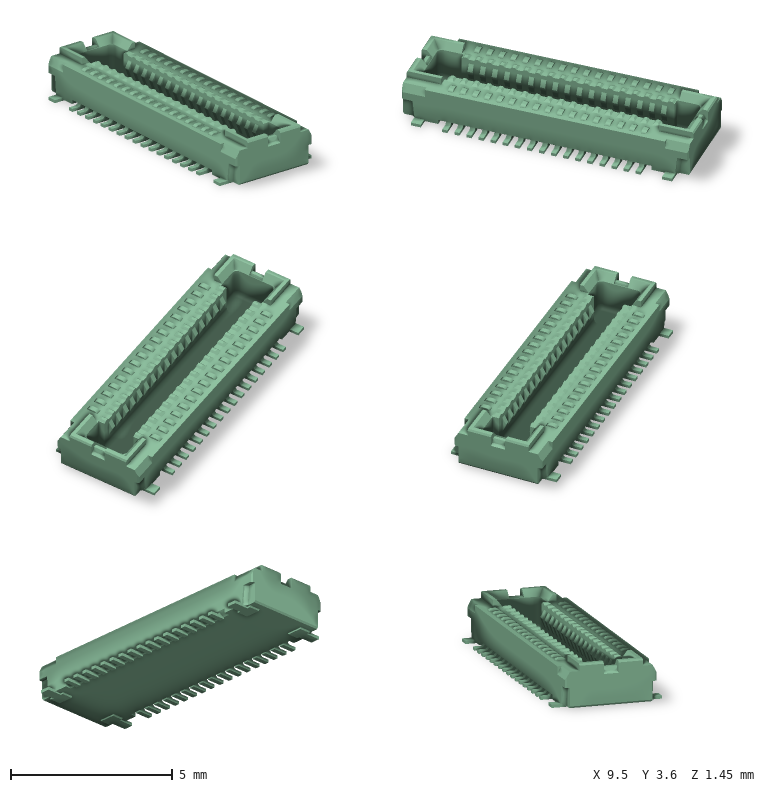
import cadquery as cq

length = 9.5
end_x = length / 2
side_y = 1.5
lead_reach = 1.8
base_z = 0.05
deck_z = 1.22
top_z = 1.45

floor_z = 0.2
floor_radius = 0.15
channel_end_x = 3.53
channel_half_width = 0.527
pocket_end_x = 4.36
pocket_half_width = 0.74
pocket_corner_radius = 0.16

tower_inner_x = 3.605
tower_half_width = 1.04
funnel_end_x = 4.57
funnel_half_width = 0.92
end_chamfer_x = 0.04
end_chamfer_z = 0.06

key_half_width = 0.24
key_floor_z = 1.06
ridge_foot_z = 1.12
ridge_top_z = 1.25
ridge_foot_inset = 0.1
ridge_top_inset = 0.17
ridge_back_inset = 0.28
ridge_end_inset = 0.38
ridge_end_z = 1.06

bevel_inner_x = 3.975
bevel_y = 0.146
bevel_z = 0.26
corner_chamfer_y = 0.055
recess_top_z = 0.705
recess_depth = 0.15
recess_floor_inset = 0.26
recess_mouth_inset = 0.37
recess_slant = 0.07
recess_straight_depth = 0.055

contact_count = 17
pitch = 0.4
contact_width = 0.167
lead_thickness = 0.1
lead_bend_y = 1.53
lead_shoulder_y = 1.45
lead_shoulder_z = 0.175
lead_inner_y = 1.28
relief_half_length = channel_end_x
relief_height = 0.15
relief_depth = 0.2

slot_inner_y = 0.945
slot_outer_y = 1.335
slot_depth = 0.25
crown_z = 1.28
crown_radius = 0.14

nose_top_z = 1.08
nose_tip_z = 0.85
nose_bottom_z = 0.52
nose_tip_y = 0.4
nose_root_y = 0.6

lug_base_width = 0.22
lug_top_width = 0.1
lug_outer_y = 0.8
lug_top_outer_y = 0.7
lug_top_z = 1.275

tab_inner_x = 3.995
tab_outer_x = 4.325
tab_inner_y = 0.89
pad_outer_y = lead_inner_y
pad_bottom_x = (3.91, 4.44)
pad_flare = 0.03

clearance = 0.2


def box(x_range, y_range, z_range):
    """Box between three pairs of limits."""
    size = [limits[1] - limits[0] for limits in (x_range, y_range, z_range)]
    return cq.Workplane("XY").box(*size, centered=False).translate((x_range[0], y_range[0], z_range[0]))


def around(half_width, center=0):
    """Limits lying half_width to either side of center."""
    return (center - half_width, center + half_width)


def profile_yz(points, center_x, width):
    """Extrude a (y, z) outline along X, centred on center_x."""
    outline = cq.Workplane("YZ", origin=(center_x - width / 2, 0, 0))
    return outline.polyline(points).close().extrude(width)


def profile_xz(points, y_start, y_end):
    """Extrude an (x, z) outline from y_start to y_end."""
    outline = cq.Workplane("XZ", origin=(0, y_start, 0))
    return outline.polyline(points).close().extrude(y_start - y_end)


def at_both_ends(shape):
    """The +X feature and its mirror image at -X."""
    return shape.union(shape.mirror("YZ"))


def at_both_sides(shape):
    """The +Y feature and its mirror image at -Y."""
    return shape.union(shape.mirror("XZ"))


def row(make, count):
    """Place count copies of a feature at the contact pitch, centred on X = 0, on both sides."""
    shapes = cq.Workplane("XY")
    for index in range(count):
        shapes = shapes.add(make((index - (count - 1) / 2) * pitch))
    return shapes.combine().union(shapes.mirror("XZ"))


def housing_block():
    """Plain housing with a tower on each end."""
    block = box(around(end_x), around(side_y), (base_z, deck_z))
    tower = box((tower_inner_x, end_x), around(tower_half_width), (floor_z, top_z))
    return block.union(at_both_ends(tower))


def cavity():
    """Central channel opening into a wider pocket at each end, rounded along the floor."""
    z_range = (floor_z, top_z + clearance)
    channel = box(around(channel_end_x), around(channel_half_width), z_range)
    channel = channel.edges("|X and <Z").fillet(floor_radius)
    pocket = box((channel_end_x, pocket_end_x), around(pocket_half_width), z_range)
    pocket = pocket.edges("|Z and >X").fillet(pocket_corner_radius)
    pocket = pocket.faces("<Z").edges("not(<X)").fillet(floor_radius)
    return channel.union(at_both_ends(pocket))


def funnel():
    """Tapered mouth from the tower top down to the pocket wall at deck height."""
    inner_x = tower_inner_x - clearance
    lower = cq.Workplane("XY", origin=(inner_x, 0, deck_z)).center((pocket_end_x - inner_x) / 2, 0)
    lower = lower.rect(pocket_end_x - inner_x, 2 * pocket_half_width)
    upper = lower.workplane(offset=top_z - deck_z).center((funnel_end_x - pocket_end_x) / 2, 0)
    return upper.rect(funnel_end_x - inner_x, 2 * funnel_half_width).loft(ruled=True)


def key_notch():
    """Opening through the tower wall above the ridge."""
    outline = [
        (end_x + clearance, key_floor_z),
        (end_x, key_floor_z),
        (end_x - ridge_foot_inset, ridge_foot_z),
        (end_x - ridge_top_inset, ridge_top_z),
        (end_x - ridge_back_inset, ridge_top_z),
        (end_x - ridge_end_inset, ridge_end_z),
        (end_x - ridge_end_inset, top_z + clearance),
        (end_x + clearance, top_z + clearance),
    ]
    return profile_xz(outline, -key_half_width, key_half_width)


def end_edge_chamfers():
    """Chamfers along the top edge of the tower and the bottom edge of the end face."""
    top = [(end_x - end_chamfer_x, top_z), (end_x, top_z), (end_x, top_z - end_chamfer_z)]
    bottom = [(end_x - end_chamfer_x, base_z), (end_x, base_z), (end_x, base_z + end_chamfer_z)]
    return profile_xz(top, -side_y, side_y).union(profile_xz(bottom, -side_y, side_y))


def corner_bevel():
    """Sloped top edge and chamfered upright edge of one housing corner."""
    slope = profile_yz(
        [(side_y - bevel_y, deck_z), (side_y, deck_z), (side_y, deck_z - bevel_z)],
        (bevel_inner_x + end_x) / 2,
        end_x - bevel_inner_x,
    )
    upright = cq.Workplane("XY", origin=(0, 0, recess_top_z)).polyline(
        [(end_x - end_chamfer_x, side_y), (end_x, side_y), (end_x, side_y - corner_chamfer_y)]
    )
    return slope.union(upright.close().extrude(deck_z - recess_top_z))


def corner_recess():
    """Shallow side recess at one corner; its inner wall is sloped near the floor."""

    def outline(plane, inset):
        return plane.polyline(
            [
                (end_x, base_z),
                (end_x, recess_top_z),
                (end_x - inset, recess_top_z),
                (end_x - inset - recess_slant, base_z),
            ]
        ).close()

    surface = cq.Workplane("XZ", origin=(0, side_y, 0))
    straight = outline(surface, recess_mouth_inset).extrude(recess_straight_depth)
    step = outline(surface.workplane(offset=recess_straight_depth), recess_mouth_inset)
    step = step.workplane(offset=recess_depth - recess_straight_depth)
    return straight.union(outline(step, recess_floor_inset).loft(ruled=True))


def lead_relief():
    """Sloped undercut along one bottom edge, above the leads."""
    points = [(side_y, base_z), (side_y, base_z + relief_height), (side_y - relief_depth, base_z)]
    return profile_yz(points, 0, 2 * relief_half_length)


def lead(x):
    """Solder lead stepping up into the housing."""
    points = [
        (lead_inner_y, 0),
        (lead_reach, 0),
        (lead_reach, lead_thickness),
        (lead_bend_y, lead_thickness),
        (lead_shoulder_y, lead_shoulder_z),
        (lead_inner_y, lead_shoulder_z),
    ]
    return profile_yz(points, x, contact_width)


def slot(x):
    """Opening in the deck around one contact crown."""
    return box(around(contact_width / 2, x), (slot_inner_y, slot_outer_y), (deck_z - slot_depth, deck_z))


def crown(x):
    """Rounded contact crown that fills its slot and rises above the deck."""
    z_range = (deck_z - slot_depth, crown_z)
    block = box(around(contact_width / 2, x), (slot_inner_y, slot_outer_y), z_range)
    return block.edges("|X and >Z").fillet(crown_radius)


def nose(x):
    """Pointed contact bulge on the channel wall."""
    points = [
        (nose_root_y, nose_top_z),
        (channel_half_width, nose_top_z),
        (nose_tip_y, nose_tip_z),
        (channel_half_width, nose_bottom_z),
        (nose_root_y, nose_bottom_z),
    ]
    return profile_yz(points, x, contact_width)


def lug(x):
    """Tapered lug, upright on the channel side."""
    base_length = lug_outer_y - channel_half_width
    top_length = lug_top_outer_y - channel_half_width
    base = cq.Workplane("XY", origin=(x, channel_half_width + base_length / 2, deck_z))
    base = base.rect(lug_base_width, base_length)
    top = base.workplane(offset=lug_top_z - deck_z).center(0, (top_length - base_length) / 2)
    return top.rect(lug_top_width, top_length).loft(ruled=True)


def hold_down():
    """Solder tab at one corner with a flared pad beneath the housing."""
    tab = box((tab_inner_x, tab_outer_x), (tab_inner_y, lead_reach), (0, lead_thickness))
    inner_x, outer_x = pad_bottom_x
    pad_outline = [
        (inner_x, 0),
        (outer_x, 0),
        (outer_x + pad_flare, base_z),
        (inner_x - pad_flare, base_z),
    ]
    return tab.union(profile_xz(pad_outline, tab_inner_y, pad_outer_y))


def build():
    """Assemble the housing, its openings and its contacts into one solid."""
    body = housing_block()
    body = body.cut(cavity()).cut(at_both_ends(funnel()))
    body = body.cut(at_both_ends(key_notch())).cut(at_both_ends(end_edge_chamfers()))
    body = body.cut(at_both_sides(at_both_ends(corner_bevel().union(corner_recess()))))
    body = body.cut(at_both_sides(lead_relief())).cut(row(slot, contact_count))
    for feature in (lead, crown, nose):
        body = body.union(row(feature, contact_count))
    body = body.union(row(lug, contact_count + 1))
    return body.union(at_both_sides(at_both_ends(hold_down())))


result = build()